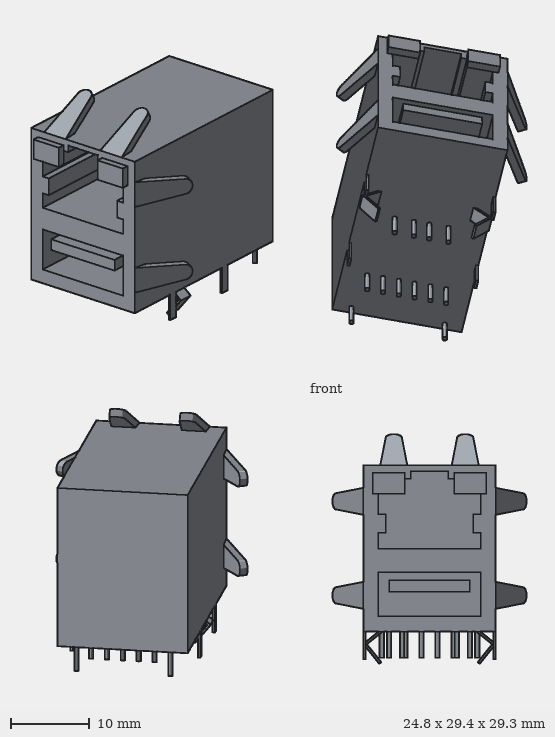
import cadquery as cq
import math


TOTAL_LENGTH = 29.35
LAMP_DEPTH = 0.97
HOUSING_WIDTH = 16.85
HOUSING_LENGTH = TOTAL_LENGTH - LAMP_DEPTH
HOUSING_HEIGHT = 21.2
HALF_WIDTH = HOUSING_WIDTH / 2

OPENING_WIDTH = 13.03
OPENING_DEPTH = 14.68

PORT_FLOOR = 10.57
PORT_CEILING = HOUSING_HEIGHT - 1.7
LATCH_SLOT_WIDTH = 4.8
LATCH_SLOT_TOP = HOUSING_HEIGHT - 0.75
RAIL_WIDTH = 0.97
RAIL_HEIGHT = 2.35
RAIL_BOTTOM = 12.6

USB_FLOOR = 1.95
USB_HEIGHT = 5.6
TONGUE_WIDTH = 10.27
TONGUE_THICKNESS = 1.5
TONGUE_BOTTOM = 5.05

LAMP_WIDTH = 4.1
LAMP_HEIGHT = 2.7
LAMP_SIDE_INSET = 1.17
LAMP_TOP_INSET = 0.95
LAMP_BOTTOM = HOUSING_HEIGHT - LAMP_TOP_INSET - LAMP_HEIGHT
LAMP_SPACING = HOUSING_WIDTH - 2 * (LAMP_SIDE_INSET + LAMP_WIDTH)

FINGER_ANGLE = 30.0
FINGER_LENGTH = 7.92
FINGER_SHOULDER = 7.05
FINGER_BASE_WIDTH = 3.45
FINGER_SHOULDER_WIDTH = 2.08
FINGER_THICKNESS = 1.05
TOP_FINGER_OFFSET = 4.55
SIDE_FINGER_INSET = 4.6

SHEET_THICKNESS = 0.32
LEG_WIDTH = 1.17
LEG_LENGTH = 3.55
LEG_FRONTS = (7.35, 17.95)
CLIP_WIDTH = 2.0
CLIP_FRONT = 9.48
CLIP_ROOT_INSET = 1.95
CLIP_BEND_DROP = 1.58
CLIP_TIP_INSET = 2.03
CLIP_DROP = 4.1

PIN_DIAMETER = 0.6
PIN_LENGTH = 3.35
USB_PIN_ROW = 13.12
USB_PIN_OFFSETS = (1.0, 3.5)
PORT_PIN_ROW = 22.3
PORT_PIN_PITCH = 2.05
PORT_PIN_OFFSETS = [PORT_PIN_PITCH * (n + 0.5) for n in range(3)]
REAR_PIN_ROW = 27.62
REAR_PIN_OFFSETS = (6.08,)
PIN_ROWS = (
    (USB_PIN_ROW, USB_PIN_OFFSETS),
    (PORT_PIN_ROW, PORT_PIN_OFFSETS),
    (REAR_PIN_ROW, REAR_PIN_OFFSETS),
)


def block(width, depth, height, x=0.0, front=0.0, bottom=0.0):
    """A box centred on x, reaching back from front and up from bottom."""
    box = cq.Workplane("XY").box(width, depth, height, centered=(True, False, False))
    return box.translate((x, front, bottom))


def on_both_sides(shape):
    """The shape together with its mirror image across the middle plane X = 0."""
    return shape.union(shape.mirror("YZ"))


def network_opening():
    """A railed opening that narrows between the lamps and again at the latch slot."""
    opening = block(OPENING_WIDTH, OPENING_DEPTH, LAMP_BOTTOM - PORT_FLOOR, bottom=PORT_FLOOR)
    neck = block(LAMP_SPACING, OPENING_DEPTH, PORT_CEILING - PORT_FLOOR, bottom=PORT_FLOOR)
    latch_slot = block(LATCH_SLOT_WIDTH, OPENING_DEPTH, LATCH_SLOT_TOP - PORT_FLOOR, bottom=PORT_FLOOR)
    rail_x = (OPENING_WIDTH - RAIL_WIDTH) / 2
    rail = block(RAIL_WIDTH, OPENING_DEPTH, RAIL_HEIGHT, x=rail_x, bottom=RAIL_BOTTOM)
    return opening.union(neck).union(latch_slot).cut(on_both_sides(rail))


def usb_opening():
    """A plain opening around a contact tongue whose tip is flush with the front face."""
    opening = block(OPENING_WIDTH, OPENING_DEPTH, USB_HEIGHT, bottom=USB_FLOOR)
    tongue = block(TONGUE_WIDTH, OPENING_DEPTH, TONGUE_THICKNESS, bottom=TONGUE_BOTTOM)
    return opening.cut(tongue)


def finger():
    """A round-tipped finger rising backwards, its outer face starting at the origin."""
    flat = (
        cq.Workplane("XY")
        .moveTo(-FINGER_BASE_WIDTH / 2, 0)
        .lineTo(-FINGER_SHOULDER_WIDTH / 2, FINGER_SHOULDER)
        .threePointArc((0, FINGER_LENGTH), (FINGER_SHOULDER_WIDTH / 2, FINGER_SHOULDER))
        .lineTo(FINGER_BASE_WIDTH / 2, 0)
        .close()
        .extrude(-FINGER_THICKNESS)
    )
    return flat.rotate((0, 0, 0), (1, 0, 0), FINGER_ANGLE)


def fingers():
    """Two fingers on the top and two on each side, all rooted at the front edges."""
    top_finger = finger().translate((TOP_FINGER_OFFSET, 0, HOUSING_HEIGHT))
    side_finger = finger().rotate((0, 0, 0), (0, 1, 0), 90)
    lower_finger = side_finger.translate((HALF_WIDTH, 0, SIDE_FINGER_INSET))
    upper_finger = side_finger.translate((HALF_WIDTH, 0, HOUSING_HEIGHT - SIDE_FINGER_INSET))
    return on_both_sides(top_finger.union(lower_finger).union(upper_finger))


def legs():
    """Straight sheet-metal legs, flush with the sides of the housing."""
    leg_x = HALF_WIDTH - SHEET_THICKNESS / 2
    right_legs = cq.Workplane("XY")
    for front in LEG_FRONTS:
        leg = block(SHEET_THICKNESS, LEG_WIDTH, LEG_LENGTH, x=leg_x, front=front, bottom=-LEG_LENGTH)
        right_legs = right_legs.add(leg)
    return on_both_sides(right_legs.combine())


def clips():
    """V-shaped sheet-metal clips whose bends reach out to the sides of the housing."""
    arm_angle = math.atan2(CLIP_BEND_DROP, CLIP_ROOT_INSET)
    tail_angle = math.atan2(CLIP_DROP - CLIP_BEND_DROP, CLIP_TIP_INSET)
    bisector_angle = (arm_angle - tail_angle) / 2
    bend_reach = SHEET_THICKNESS / math.sin((arm_angle + tail_angle) / 2)
    inner_bend_x = HALF_WIDTH - bend_reach * math.cos(bisector_angle)
    inner_bend_z = -CLIP_BEND_DROP + bend_reach * math.sin(bisector_angle)
    root_x = HALF_WIDTH - CLIP_ROOT_INSET
    tip_x = HALF_WIDTH - CLIP_TIP_INSET
    clip = (
        cq.Workplane("XZ", origin=(0, CLIP_FRONT, 0))
        .moveTo(root_x, 0)
        .lineTo(HALF_WIDTH, -CLIP_BEND_DROP)
        .lineTo(tip_x, -CLIP_DROP)
        .lineTo(
            tip_x - SHEET_THICKNESS * math.sin(tail_angle),
            -CLIP_DROP + SHEET_THICKNESS * math.cos(tail_angle),
        )
        .lineTo(inner_bend_x, inner_bend_z)
        .lineTo(root_x - SHEET_THICKNESS / math.sin(arm_angle), 0)
        .close()
        .extrude(-CLIP_WIDTH)
    )
    return on_both_sides(clip)


def contact_pins():
    centres = [(side * x, row) for row, offsets in PIN_ROWS for x in offsets for side in (-1, 1)]
    return cq.Workplane("XY").pushPoints(centres).circle(PIN_DIAMETER / 2).extrude(-PIN_LENGTH)


def make_housing():
    shell = block(HOUSING_WIDTH, HOUSING_LENGTH, HOUSING_HEIGHT)
    shell = shell.cut(network_opening()).cut(usb_opening())
    return shell.union(fingers()).union(legs()).union(clips()).union(contact_pins())


def make_lamp(side):
    """A lamp on the front face, at the upper corner on the given side of the housing."""
    x = side * (LAMP_SPACING + LAMP_WIDTH) / 2
    return block(LAMP_WIDTH, LAMP_DEPTH, LAMP_HEIGHT, x=x, front=-LAMP_DEPTH, bottom=LAMP_BOTTOM)


housing = make_housing()
lamps = [make_lamp(side) for side in (-1, 1)]

result = cq.Compound.makeCompound([housing.val(), *[lamp.val() for lamp in lamps]])